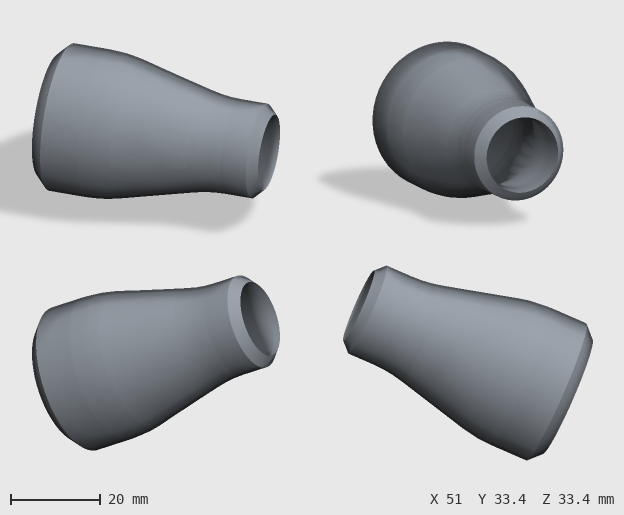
import cadquery as cq
import math

length = 51.0
large_outer_radius = 16.7
large_bore_radius = 13.95
small_outer_radius = 10.7
small_bore_radius = 8.55

large_blend_start = 11.3
cone_start = 18.5
cone_end = 35.45
small_blend_end = 42.85

large_bevel = large_outer_radius - large_bore_radius
small_bevel = small_outer_radius - small_bore_radius

SOLVER_STEPS = 20


def taper_half_angle(radius_drop):
    """Half the cone angle at which both blends are tangent to cone and cylinders."""
    blend_length = (cone_start - large_blend_start) + (small_blend_end - cone_end)
    cone_length = cone_end - cone_start
    half_tangent = 0.0
    for _ in range(SOLVER_STEPS):
        cone_share = 2 * cone_length / (1 - half_tangent**2)
        half_tangent = radius_drop / (blend_length + cone_share)
    return math.atan(half_tangent)


def reducing_solid(large_radius, small_radius):
    """Solid of two cylinders joined by a cone with a tangent arc at each end."""
    half_angle = taper_half_angle(large_radius - small_radius)
    large_drop = (cone_start - large_blend_start) * math.tan(half_angle)
    small_drop = (small_blend_end - cone_end) * math.tan(half_angle)
    return (
        cq.Workplane("XY")
        .lineTo(0, large_radius)
        .lineTo(large_blend_start, large_radius)
        .tangentArcPoint((cone_start, large_radius - large_drop), relative=False)
        .lineTo(cone_end, small_radius + small_drop)
        .tangentArcPoint((small_blend_end, small_radius), relative=False)
        .lineTo(length, small_radius)
        .lineTo(length, 0)
        .close()
        .revolve(360, (0, 0, 0), (1, 0, 0))
    )


outside = reducing_solid(large_outer_radius, small_outer_radius)
outside = outside.faces("<X").chamfer(large_bevel)
outside = outside.faces(">X").chamfer(small_bevel)
bore = reducing_solid(large_bore_radius, small_bore_radius)

result = outside.cut(bore)